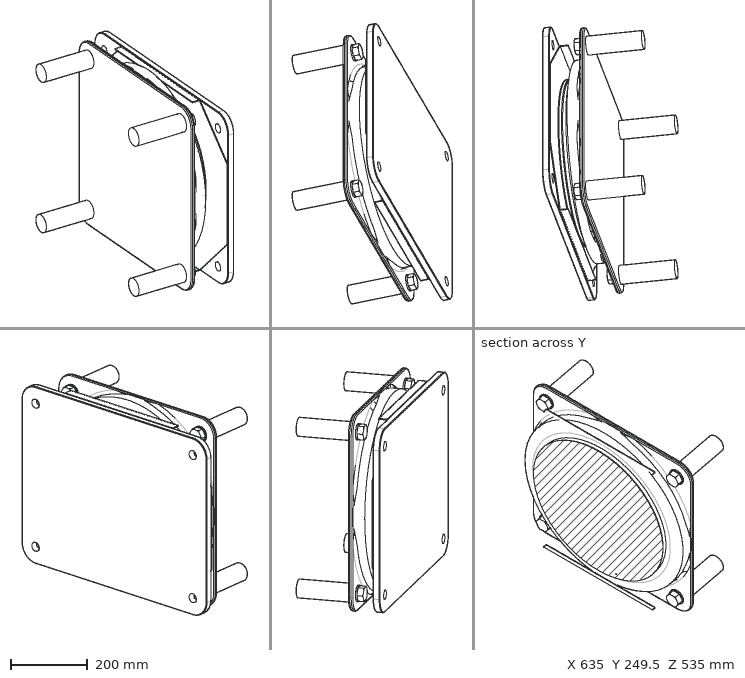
import cadquery as cq
import math


back_width = 635.0
back_height = 500.0
back_thickness = 19.0
corner_radius = 47.5
edge_chamfer = 2.0
mount_hole_dia = 25.0

sheet_thickness = 2.5
sheet_corner_cut = 133.5
lip_end_depth = 42.5

neck_dia = 436.0
ring_dia = 440.0
ring_start_depth = 24.0
ring_bevel_depth = 32.0
ring_end_depth = 34.0
cone_start_dia = 466.0
cone_start_depth = 46.0
cone_end_depth = 56.0
drum_dia = 535.0

front_size = drum_dia
front_depth = 89.0
front_face_depth = 101.0
front_chamfer_depth = 4.0
front_chamfer_inset = 2.0

blend_radius = 9.0
blend_fade_half_width = 76.0

post_dia = 50.0
post_end_depth = 249.5
washer_dia = 44.0
washer_thickness = 4.0
nut_across_flats = 37.0
nut_height = 16.5
nut_chamfer = 2.0

drum_radius = drum_dia / 2


def plane_at(depth):
    """Sketch plane facing -Y at the given depth: local x is X and local y is Z."""
    return cq.Workplane("XZ", origin=(0, -depth, 0))


def corner_points(width, height):
    """Centres of the rounded corners of a plate."""
    half_x = width / 2 - corner_radius
    half_z = height / 2 - corner_radius
    return [(sx * half_x, sz * half_z) for sx in (-1, 1) for sz in (-1, 1)]


def rounded_plate(width, height, start, end):
    plate = plane_at(start).rect(width, height).extrude(end - start)
    return plate.edges("|Y").fillet(corner_radius)


def make_back_plate():
    plate = rounded_plate(back_width, back_height, 0, back_thickness)
    plate = plate.faces("<Y or >Y").edges().chamfer(edge_chamfer)
    holes = (
        plane_at(0)
        .pushPoints(corner_points(back_width, back_height))
        .circle(mount_hole_dia / 2)
        .extrude(back_thickness)
    )
    return plate.cut(holes)


def make_cover_sheet():
    sheet = plane_at(back_thickness).rect(back_width, back_height).extrude(sheet_thickness)
    sheet = sheet.edges("|Y").chamfer(sheet_corner_cut)
    lip_centre = (back_height - sheet_thickness) / 2
    lips = (
        plane_at(back_thickness)
        .pushPoints([(0, -lip_centre), (0, lip_centre)])
        .rect(back_width - 2 * sheet_corner_cut, sheet_thickness)
        .extrude(lip_end_depth - back_thickness)
    )
    return sheet.union(lips).clean()


def make_drum():
    profile = [
        (0, back_thickness),
        (neck_dia / 2, back_thickness),
        (neck_dia / 2, ring_start_depth),
        (ring_dia / 2, ring_start_depth),
        (ring_dia / 2, ring_bevel_depth),
        (neck_dia / 2, ring_end_depth),
        (neck_dia / 2, cone_start_depth),
        (cone_start_dia / 2, cone_start_depth),
        (drum_radius, cone_end_depth),
        (drum_radius, front_depth),
        (0, front_depth),
    ]
    outline = [(radius, -depth) for radius, depth in profile]
    return cq.Workplane("XY").polyline(outline).close().revolve(360, (0, 0, 0), (0, 1, 0))


def make_blend():
    """Concave ring around the drum, fading to nothing where the drum touches the plate edges."""
    top = front_depth - blend_radius
    outer = drum_radius + blend_radius
    mid_offset = blend_radius * (1 - math.sqrt(0.5))
    inner = neck_dia / 2
    ring = (
        cq.Workplane("XY")
        .moveTo(inner, -top)
        .lineTo(drum_radius, -top)
        .threePointArc((drum_radius + mid_offset, mid_offset - front_depth), (outer, -front_depth))
        .lineTo(inner, -front_depth)
        .close()
        .revolve(360, (0, 0, 0), (0, 1, 0))
    )
    fade = (
        cq.Workplane("XY")
        .moveTo(-blend_fade_half_width, -top)
        .lineTo(blend_fade_half_width, -top)
        .lineTo(0, -front_depth)
        .close()
        .extrude(outer, both=True)
    )
    flat_side = front_size - 2 * front_chamfer_inset
    plate_flat = plane_at(top).rect(flat_side, flat_side).extrude(blend_radius)
    ring = ring.intersect(plate_flat)
    return ring.cut(fade).cut(fade.rotate((0, 0, 0), (0, 1, 0), 90))


def make_front_plate():
    plate = rounded_plate(front_size, front_size, front_depth, front_face_depth)
    return plate.faces("<Y or >Y").chamfer(front_chamfer_depth, front_chamfer_inset)


def make_posts():
    """Four posts, each with a washer and a nut behind the front plate."""
    points = corner_points(front_size, front_size)
    washer_depth = front_depth - washer_thickness
    nut_depth = washer_depth - nut_height
    nut_corner_dia = nut_across_flats / math.cos(math.radians(30))

    posts = plane_at(front_depth).pushPoints(points).circle(post_dia / 2)
    posts = posts.extrude(post_end_depth - front_depth)
    washers = plane_at(washer_depth).pushPoints(points).circle(washer_dia / 2).extrude(washer_thickness)
    nuts = plane_at(nut_depth).pushPoints(points).polygon(6, nut_corner_dia).extrude(nut_height)
    blanks = plane_at(nut_depth).pushPoints(points).circle(nut_corner_dia / 2).extrude(nut_height)
    blanks = blanks.faces(">Y").chamfer(nut_chamfer)
    return posts.union(washers).union(nuts.intersect(blanks))


result = (
    make_back_plate()
    .union(make_cover_sheet())
    .union(make_drum())
    .union(make_front_plate())
    .union(make_blend())
    .union(make_posts())
)